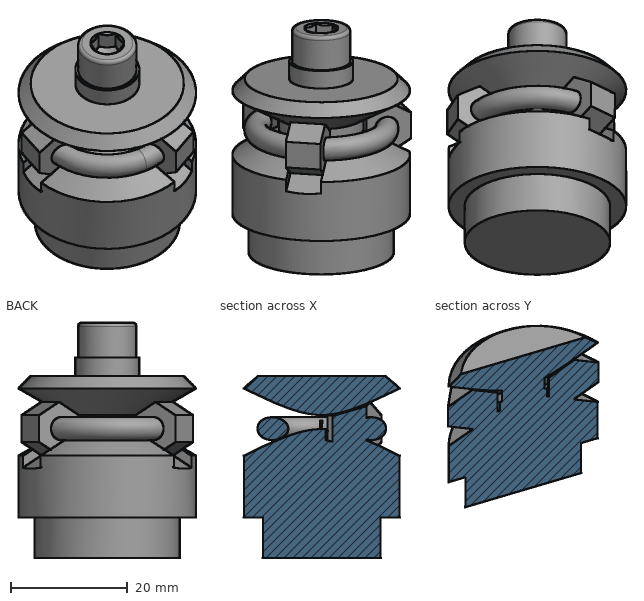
import cadquery as cq
import math

spigot_top = 6.95
body_top = 17.57
disc_rim = 29.13
disc_top = 31.25
collar_top = 34.42
screw_top = 40.4

body_diameter = 30.5
body_radius = body_diameter / 2
spigot_radius = 12.5
hub_radius = 7.27
disc_top_radius = 13.15
collar_radius = 5.5
screw_radius = 5.0
screw_edge_radius = 0.65

clamp_angle = 30
clamp_rise = math.tan(math.radians(clamp_angle))
cone_height = (body_radius - hub_radius) * clamp_rise

jaw_angles = (30, 150, 270)
jaw_width = 6.05
jaw_inner_radius = 7.2
jaw_face_height = 4.6
slot_floor_rim = 15.35
slot_overrun = 0.4
ring_height = 22.2
ring_major_radius = 11.25
ring_thickness = 4.0

socket_flats = 5.0
socket_wall_depth = 2.9
socket_point_angle = 120
socket_mouth_angle = 90


def turned_body():
    """Spigot, lower cone, hub, upper disc, collar and screw as one revolved solid."""
    profile = [
        (0, 0),
        (spigot_radius, 0),
        (spigot_radius, spigot_top),
        (body_radius, spigot_top),
        (body_radius, body_top),
        (hub_radius, body_top + cone_height),
        (hub_radius, disc_rim - cone_height),
        (body_radius, disc_rim),
        (disc_top_radius, disc_top),
        (collar_radius, disc_top),
        (collar_radius, collar_top),
        (screw_radius, collar_top),
        (screw_radius, screw_top),
        (0, screw_top),
    ]
    body = cq.Workplane("XZ").polyline(profile).close().revolve(360, (0, 0), (0, 1))
    return body.faces(">Z").edges().fillet(screw_edge_radius)


def radial_prism(profile, angle):
    """Extrude a (radius, height) outline to the jaw width and turn it to the given angle."""
    prism = cq.Workplane("XZ").polyline(profile).close().extrude(jaw_width / 2, both=True)
    return prism.rotate((0, 0, 0), (0, 0, 1), angle)


def slot_floor(radius):
    """Height of the slot floor at a distance from the axis."""
    return slot_floor_rim + (body_radius - radius) * clamp_rise


def slot(angle):
    """Slot with a floor parallel to the lower cone, open outwards and ending on the round hub."""
    outer_radius = body_radius + slot_overrun
    slot_top = body_top + cone_height
    inner_radius = math.sqrt(hub_radius**2 - (jaw_width / 2) ** 2)
    profile = [
        (inner_radius, slot_floor(inner_radius)),
        (outer_radius, slot_floor(outer_radius)),
        (outer_radius, slot_top),
        (inner_radius, slot_top),
    ]
    hub = cq.Workplane("XY").circle(hub_radius).extrude(screw_top)
    return radial_prism(profile, angle).cut(hub)


def jaw(angle):
    """Double-wedge jaw: its lower inner flank rests on the slot floor."""
    face_half = jaw_face_height / 2
    inner_half = ring_height - slot_floor(jaw_inner_radius)
    ridge_inset = (ring_height - slot_floor_rim - face_half) / (2 * clamp_rise)
    ridge_radius = body_radius - ridge_inset
    ridge_half = face_half + ridge_inset * clamp_rise
    profile = [
        (jaw_inner_radius, ring_height - inner_half),
        (ridge_radius, ring_height - ridge_half),
        (body_radius, ring_height - face_half),
        (body_radius, ring_height + face_half),
        (ridge_radius, ring_height + ridge_half),
        (jaw_inner_radius, ring_height + inner_half),
    ]
    return radial_prism(profile, angle)


def ring():
    """O-ring that runs through all the jaws."""
    section = cq.Workplane("XZ").center(ring_major_radius, ring_height).circle(ring_thickness / 2)
    return section.revolve(360, (-ring_major_radius, 0), (-ring_major_radius, 1))


def hex_socket():
    """Hexagon with a conical bottom and a countersunk mouth as wide as its corners."""
    corner_radius = socket_flats / math.sqrt(3)
    point_depth = corner_radius / math.tan(math.radians(socket_point_angle / 2))
    mouth_depth = corner_radius / math.tan(math.radians(socket_mouth_angle / 2))
    wall_bottom = screw_top - socket_wall_depth
    drill_profile = [
        (0, screw_top),
        (corner_radius, screw_top),
        (corner_radius, wall_bottom),
        (0, wall_bottom - point_depth),
    ]
    drill = cq.Workplane("XZ").polyline(drill_profile).close().revolve(360, (0, 0), (0, 1))
    total_depth = socket_wall_depth + point_depth
    hexagon = (
        cq.Workplane("XY", origin=(0, 0, screw_top))
        .polygon(6, 2 * corner_radius)
        .extrude(-total_depth)
    )
    mouth_profile = [
        (0, screw_top),
        (corner_radius, screw_top),
        (0, screw_top - mouth_depth),
    ]
    mouth = cq.Workplane("XZ").polyline(mouth_profile).close().revolve(360, (0, 0), (0, 1))
    return hexagon.intersect(drill).union(mouth)


result = turned_body().cut(hex_socket())
for jaw_angle in jaw_angles:
    result = result.cut(slot(jaw_angle))
for jaw_angle in jaw_angles:
    result = result.union(jaw(jaw_angle))
result = result.union(ring())